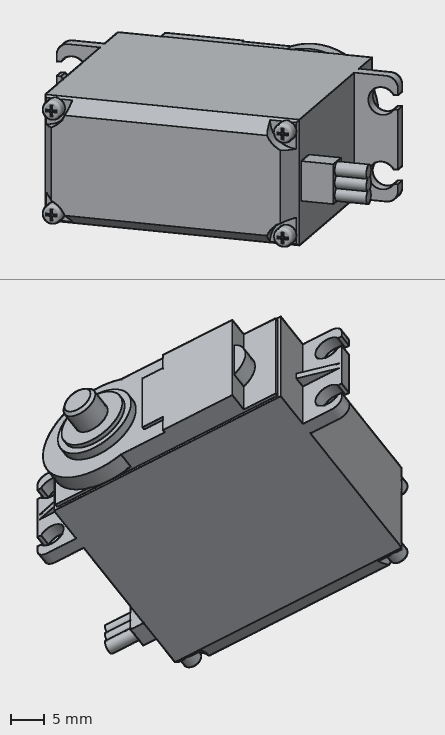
import cadquery as cq


case_length = 40.0
case_width = 19.6
case_bottom_y = 3.0
case_top_y = 36.6

cover_inset = 2.0
pocket_radius = 4.1
pocket_floor_y = 2.5

screw_radius = 1.5
screw_x = 18.2
screw_z = 8.1
screw_face_y = 0.5
screw_edge_fillet = 0.5
cross_length = 1.7
cross_arm = 0.35
cross_depth = 0.5

lug_span = 53.7
lug_bottom_y = 28.35
lug_top_y = 30.45
lug_corner_radius = 1.8
hole_x = 24.35
hole_z = 5.8
hole_radius = 2.15
slot_width = 2.25
web_thickness = 1.2
web_height = 1.8
web_end_gap = 0.4

plinth_length = 38.9
top_width = 18.5
plinth_top_y = 37.1
deck_y = 39.8
plateau_y = 40.3
plateau_start_x = -13.8
plateau_end_x = -1.55
tongue_end_x = 2.05
tongue_width = 12.0
end_boss_radius = 4.25
end_boss_tip_x = -15.8

shaft_x = 9.95
gear_boss_radius = 10.0
flange_radius = 6.45
flange_top_y = 41.2
collar_radius = 5.35
collar_top_y = 41.9
shaft_radius = 2.8
shaft_tip_y = 45.9
shaft_chamfer = 0.5

grommet_length = 5.05
grommet_bottom_y = 3.85
grommet_top_y = 7.4
grommet_width = 6.2
wire_end_x = 30.0
wire_radius = 1.1
wire_pitch = 1.95
wire_centre_z = -0.05
wire_count = 3

SIDES = (-1, 1)


def block(x_start, x_end, y_start, y_end, width):
    """Box between two X and two Y positions, centred on Z = 0."""
    size = (x_end - x_start, y_end - y_start, width)
    return cq.Workplane("XY").box(*size, centered=(False, False, True)).translate((x_start, y_start, 0))


def disc(x, z, radius, y_start, y_end):
    """Cylinder along Y."""
    axis_point = cq.Vector(x, y_start, z)
    return cq.Workplane(cq.Solid.makeCylinder(radius, y_end - y_start, axis_point, cq.Vector(0, 1, 0)))


def make_cover():
    """Cover with four sloping sides and a quarter-round pocket at each corner."""
    cover = (
        cq.Workplane("XZ", origin=(0, case_bottom_y, 0))
        .rect(case_length, case_width)
        .workplane(offset=case_bottom_y)
        .rect(case_length - 2 * cover_inset, case_width - 2 * cover_inset)
        .loft(ruled=True)
    )
    pocket_inset = cover_inset * (case_bottom_y - pocket_floor_y) / case_bottom_y
    for x_side in SIDES:
        for z_side in SIDES:
            pocket_x = x_side * (case_length / 2 - pocket_inset)
            pocket_z = z_side * (case_width / 2 - pocket_inset)
            cover = cover.cut(disc(pocket_x, pocket_z, pocket_radius, 0, pocket_floor_y))
    return cover


def make_screw(x, z):
    """Round screw head with a cross recess, standing on a cover pocket floor."""
    head = disc(x, z, screw_radius, screw_face_y, case_bottom_y).faces("<Y").edges().fillet(screw_edge_fillet)
    recess_end_y = screw_face_y + cross_depth
    long_half = cross_length / 2
    short_half = cross_arm / 2
    along_x = block(-long_half, long_half, screw_face_y, recess_end_y, cross_arm)
    along_z = block(-short_half, short_half, screw_face_y, recess_end_y, cross_length)
    return head.cut(along_x.union(along_z).translate((x, 0, z)))


def make_lugs():
    """Mounting plate through the case, with four open-ended screw holes."""
    half_span = lug_span / 2
    lugs = block(-half_span, half_span, lug_bottom_y, lug_top_y, case_width)
    lugs = lugs.edges("|Y").fillet(lug_corner_radius)
    slot_reach = half_span - hole_x
    for x_side in SIDES:
        for z_side in SIDES:
            hole = disc(x_side * hole_x, z_side * hole_z, hole_radius, lug_bottom_y, lug_top_y)
            slot = block(0, slot_reach, lug_bottom_y, lug_top_y, slot_width)
            slot_start_x = hole_x if x_side > 0 else -half_span
            lugs = lugs.cut(hole).cut(slot.translate((slot_start_x, 0, z_side * hole_z)))
    return lugs


def make_web(x_side):
    """Triangular web stiffening one lug against the case end."""
    root_x = x_side * case_length / 2
    tip_x = x_side * (lug_span / 2 - web_end_gap)
    corners = [(root_x, lug_top_y), (tip_x, lug_top_y), (root_x, lug_top_y + web_height)]
    return cq.Workplane("XY").polyline(corners).close().extrude(web_thickness / 2, both=True)


def make_gearbox_top():
    """Plinth, deck, raised plateau and the two rounded bosses on top of the case."""
    end_boss_x = end_boss_tip_x + end_boss_radius
    plinth = block(-plinth_length / 2, plinth_length / 2, case_top_y, plinth_top_y, top_width)
    deck = block(plateau_start_x, shaft_x, plinth_top_y, deck_y, top_width)
    plateau = block(plateau_start_x, plateau_end_x, plinth_top_y, plateau_y, top_width)
    tongue = block(plateau_end_x, tongue_end_x, plinth_top_y, plateau_y, tongue_width)
    end_boss = disc(end_boss_x, 0, end_boss_radius, plinth_top_y, deck_y)
    gear_boss = disc(shaft_x, 0, gear_boss_radius, plinth_top_y, deck_y)
    return plinth.union(deck).union(plateau).union(tongue).union(end_boss).union(gear_boss)


def make_output():
    """Flange, collar and chamfered output shaft."""
    flange = disc(shaft_x, 0, flange_radius, deck_y, flange_top_y)
    collar = disc(shaft_x, 0, collar_radius, flange_top_y, collar_top_y)
    shaft = disc(shaft_x, 0, shaft_radius, collar_top_y, shaft_tip_y).faces(">Y").chamfer(shaft_chamfer)
    return flange.union(collar).union(shaft)


def make_cable():
    """Square grommet with a flat row of wires."""
    grommet_start_x = case_length / 2
    grommet_end_x = grommet_start_x + grommet_length
    cable = block(grommet_start_x, grommet_end_x, grommet_bottom_y, grommet_top_y, grommet_width)
    wire_y = (grommet_bottom_y + grommet_top_y) / 2
    for index in range(wire_count):
        wire_z = wire_centre_z + (index - (wire_count - 1) / 2) * wire_pitch
        start = cq.Vector(grommet_start_x, wire_y, wire_z)
        wire = cq.Solid.makeCylinder(wire_radius, wire_end_x - grommet_start_x, start, cq.Vector(1, 0, 0))
        cable = cable.union(cq.Workplane(wire))
    return cable


case = block(-case_length / 2, case_length / 2, case_bottom_y, case_top_y, case_width)
result = case.union(make_cover()).union(make_lugs())
for x_side in SIDES:
    result = result.union(make_web(x_side))
    for z_side in SIDES:
        result = result.union(make_screw(x_side * screw_x, z_side * screw_z))
result = result.union(make_gearbox_top()).union(make_output()).union(make_cable())